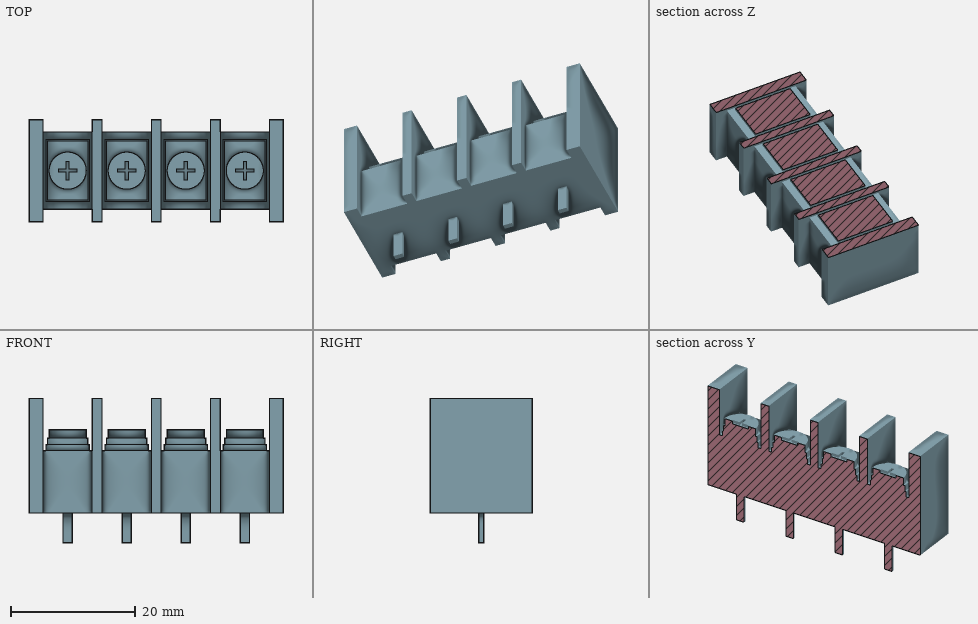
import cadquery as cq

LENGTH = 41.0
TERMINALS = 4
PITCH = 9.5

WALL_DEPTH = 16.5
WALL_HEIGHT = 18.5
INNER_WALL_THICKNESS = 1.6
WALL_GAP = PITCH - INNER_WALL_THICKNESS
END_WALL_THICKNESS = (LENGTH - (TERMINALS - 1) * PITCH - WALL_GAP) / 2

BODY_DEPTH = 12.5
BODY_HEIGHT = 10.1

LOWER_PLATE_WIDTH = 7.0
LOWER_PLATE_DEPTH = 10.0
LOWER_PLATE_THICKNESS = 0.95
PLATE_SETBACK = 0.25
UPPER_PLATE_WIDTH = LOWER_PLATE_WIDTH - 2 * PLATE_SETBACK
UPPER_PLATE_DEPTH = LOWER_PLATE_DEPTH - 2 * PLATE_SETBACK
UPPER_PLATE_THICKNESS = 1.05

HEAD_DIAMETER = 6.0
HEAD_HEIGHT = 1.35
RECESS_LENGTH = 3.0
RECESS_WIDTH = 0.5
RECESS_DEPTH = 0.5

PIN_WIDTH = 1.5
PIN_DEPTH = 0.8
PIN_LENGTH = 4.8


def block(width, depth, height, x, bottom):
    """Box centred on Y = 0 and on the given X, standing on the given Z."""
    solid = cq.Workplane("XY").box(width, depth, height, centered=(True, True, False))
    return solid.translate((x, 0, bottom))


def wall(thickness, x):
    """Full-height wall reaching past the body on both sides."""
    return block(thickness, WALL_DEPTH, WALL_HEIGHT, x, 0)


def screw_head(x, bottom):
    """Round head with two crossing slots cut into its top."""
    head = cq.Workplane("XY").circle(HEAD_DIAMETER / 2).extrude(HEAD_HEIGHT).translate((x, 0, bottom))
    recess_floor = bottom + HEAD_HEIGHT - RECESS_DEPTH
    slot_along_x = block(RECESS_LENGTH, RECESS_WIDTH, RECESS_DEPTH, x, recess_floor)
    slot_along_y = block(RECESS_WIDTH, RECESS_LENGTH, RECESS_DEPTH, x, recess_floor)
    return head.cut(slot_along_x).cut(slot_along_y)


def terminal(x):
    """Clamp plates, screw head and solder pin of one terminal."""
    upper_plate_bottom = BODY_HEIGHT + LOWER_PLATE_THICKNESS
    head_bottom = upper_plate_bottom + UPPER_PLATE_THICKNESS
    lower_plate = block(LOWER_PLATE_WIDTH, LOWER_PLATE_DEPTH, LOWER_PLATE_THICKNESS, x, BODY_HEIGHT)
    upper_plate = block(UPPER_PLATE_WIDTH, UPPER_PLATE_DEPTH, UPPER_PLATE_THICKNESS, x, upper_plate_bottom)
    pin = block(PIN_WIDTH, PIN_DEPTH, PIN_LENGTH, x, -PIN_LENGTH)
    return lower_plate.union(upper_plate).union(screw_head(x, head_bottom)).union(pin)


result = block(LENGTH, BODY_DEPTH, BODY_HEIGHT, 0, 0)

end_wall_x = (LENGTH - END_WALL_THICKNESS) / 2
for x in (-end_wall_x, end_wall_x):
    result = result.union(wall(END_WALL_THICKNESS, x))

for i in range(1, TERMINALS):
    result = result.union(wall(INNER_WALL_THICKNESS, (i - TERMINALS / 2) * PITCH))

for i in range(TERMINALS):
    result = result.union(terminal((i - (TERMINALS - 1) / 2) * PITCH))